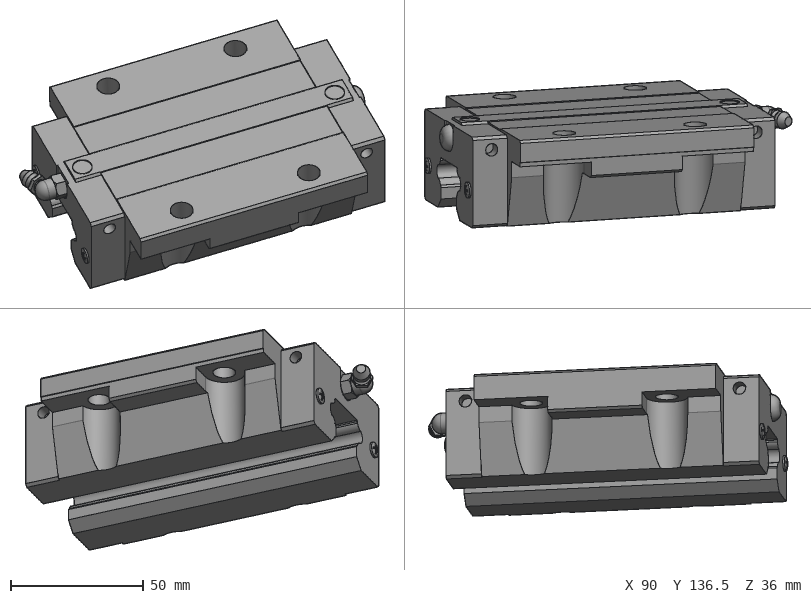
import cadquery as cq
import math


total_length = 136.5
width = 90.0
height = 36.0

block_length = 93.0
flange_bottom = 19.8
thin_flange_bottom = 26.0
body_half_width = 34.4
foot_half_width = 29.1
edge_chamfer = 1.0
datum_relief = 0.4
datum_bottom = 27.6

channel_half_width = 21.0
channel_depth = 0.4
rib_half_width = 5.3

bolt_x = 36.0
bolt_y = 26.1
bolt_diameter = 8.6
clearance_radius = 7.9

cap_end = 60.2
plate_thickness = 3.3
cap_height = 35.1
cap_chamfer = 1.1
pad_top_half_width = 5.2
pad_foot_half_width = 6.0
pad_hole_diameter = 7.4
pad_hole_depth = 0.4
pad_hole_y = 51.7
side_hole_diameter = 4.8
side_hole_depth = 5.5
side_hole_y = 52.7
side_hole_z = 29.9

slot_mouth = 13.2
slot_throat = 9.1
slot_throat_bottom = 4.0
slot_throat_top = 8.3
slot_roof_half_width = 9.5
slot_roof_corner = 0.4
groove_z = 13.9
groove_reach = 14.3
groove_mouth = 12.7
groove_mouth_rise = 2.6
lip_crown = 11.0
lip_crown_rise = 3.3
lip_end_rise = 4.8

screw_x = 24.0
screw_z = 13.9
screw_radius = 3.0
screw_rim = 0.7
screw_height = 1.4
cross_length = 3.5
cross_width = 0.7
cross_depth = 0.7

port_z = 29.3
port_radius = 5.2
port_depth = 0.5
plug_radius = 5.2
plug_height = 2.9

base_hex_corners = 9.7
base_hex_height = 3.7
base_hex_chamfer = 0.5
elbow_radius = 4.0
nipple_angle = 22.5
nipple_hex_corners = 8.3
nipple_hex_start = 3.7
nipple_hex_end = 5.2
neck_radius = 2.5
bead_radius = 3.3
bead_start = 7.4
bead_end = 9.1
tip_radius = 1.8
nipple_length = 12.0
bead_drop = (
    bead_end * math.sin(math.radians(nipple_angle)) + bead_radius * math.cos(math.radians(nipple_angle))
)
elbow_reach = total_length - 2 * cap_end - plug_height - bead_drop

SIDES = (-1, 1)


def extrude_along_y(outline, y_start, y_end):
    """Extrude an outline of the XZ plane between two Y positions."""
    return outline.extrude(y_start - y_end).translate((0, y_start, 0))


def make_block():
    """Flanged block with the -X datum relief and the channels along its top."""
    half = width / 2
    outline = cq.Workplane("XZ").polyline([
        (-foot_half_width, 0),
        (foot_half_width, 0),
        (body_half_width, flange_bottom),
        (half - edge_chamfer, flange_bottom),
        (half, flange_bottom + edge_chamfer),
        (half, height - edge_chamfer),
        (half - edge_chamfer, height),
        (edge_chamfer - half, height),
        (-half, height - edge_chamfer),
        (-half, datum_bottom),
        (datum_relief - half, datum_bottom),
        (datum_relief - half, flange_bottom + edge_chamfer),
        (datum_relief + edge_chamfer - half, flange_bottom),
        (-body_half_width, flange_bottom),
    ]).close()
    block = extrude_along_y(outline, -block_length / 2, block_length / 2)

    channel_width = channel_half_width - rib_half_width
    for side in SIDES:
        channel = cq.Workplane("XY").box(channel_width, block_length, 2 * channel_depth)
        block = block.cut(channel.translate((side * (rib_half_width + channel_width / 2), 0, height)))
    return block


def thin_flange_ends(block):
    """Raise the flange underside beyond the bolts and clear the body around each bolt."""
    reach = width / 2 - body_half_width
    end_length = block_length / 2 - bolt_y
    for x_side in SIDES:
        for y_side in SIDES:
            end_relief = cq.Workplane("XY").box(
                reach, end_length, thin_flange_bottom, centered=(True, True, False)
            ).translate((x_side * (body_half_width + reach / 2), y_side * (bolt_y + end_length / 2), 0))
            bolt_clearance = (
                cq.Workplane("XY").center(x_side * bolt_x, y_side * bolt_y)
                .circle(clearance_radius).extrude(thin_flange_bottom)
            )
            open_length = width / 2 - bolt_x
            open_side = cq.Workplane("XY").box(
                open_length, 2 * clearance_radius, thin_flange_bottom, centered=(True, True, False)
            ).translate((x_side * (bolt_x + open_length / 2), y_side * bolt_y, 0))
            block = block.cut(end_relief).cut(bolt_clearance).cut(open_side)
    bolts = (
        cq.Workplane("XY").rect(2 * bolt_x, 2 * bolt_y, forConstruction=True).vertices()
        .circle(bolt_diameter / 2).extrude(height)
    )
    return block.cut(bolts)


def make_cap(end):
    """End cap with its seal plate, raised pad, side holes and lubrication port."""
    block_end = block_length / 2
    y_start, y_end = sorted((end * block_end, end * cap_end))
    body = (
        cq.Workplane("XY").box(2 * foot_half_width, y_end - y_start, cap_height, centered=(True, True, False))
        .edges("|Y").chamfer(cap_chamfer).translate((0, (y_start + y_end) / 2, 0))
    )
    pad_outline = cq.Workplane("XZ").polyline([
        (-pad_foot_half_width, cap_height),
        (pad_foot_half_width, cap_height),
        (pad_top_half_width, height),
        (-pad_top_half_width, height),
    ]).close()
    pad_start, pad_end = sorted((end * block_end, end * (cap_end - plate_thickness)))
    cap = body.union(extrude_along_y(pad_outline, pad_start, pad_end))

    pad_hole = (
        cq.Workplane("XY", origin=(0, end * pad_hole_y, height))
        .circle(pad_hole_diameter / 2).extrude(-pad_hole_depth)
    )
    cap = cap.cut(pad_hole)
    for side in SIDES:
        side_hole = (
            cq.Workplane("YZ", origin=(side * foot_half_width, end * side_hole_y, side_hole_z))
            .circle(side_hole_diameter / 2).extrude(-side * side_hole_depth)
        )
        cap = cap.cut(side_hole)

    port_outline = (
        cq.Workplane("XZ").moveTo(-port_radius, cap_height).lineTo(-port_radius, port_z)
        .threePointArc((0, port_z - port_radius), (port_radius, port_z))
        .lineTo(port_radius, cap_height).close()
    )
    port_start, port_end = sorted((end * cap_end, end * (cap_end - port_depth)))
    return cap.cut(extrude_along_y(port_outline, port_start, port_end))


def make_rail_slot():
    """Opening for the rail: a round ball groove in each wall between two convex lips."""
    slot_side = slot_roof_half_width + slot_roof_corner
    right_half = (
        cq.Workplane("XZ").lineTo(slot_mouth, 0)
        .lineTo(slot_throat, slot_throat_bottom)
        .lineTo(slot_throat, slot_throat_top)
        .lineTo(slot_side, groove_z - lip_end_rise)
        .threePointArc((lip_crown, groove_z - lip_crown_rise), (groove_mouth, groove_z - groove_mouth_rise))
        .threePointArc((groove_reach, groove_z), (groove_mouth, groove_z + groove_mouth_rise))
        .threePointArc((lip_crown, groove_z + lip_crown_rise), (slot_side, groove_z + lip_end_rise))
        .lineTo(slot_side, flange_bottom - slot_roof_corner)
        .lineTo(slot_roof_half_width, flange_bottom)
        .lineTo(0, flange_bottom).close()
    )
    half_slot = extrude_along_y(right_half, -cap_end, cap_end)
    return half_slot.union(half_slot.mirror("YZ"))


def make_screw():
    """Domed cross-head screw standing on Z = 0."""
    dome_middle = screw_rim + 0.75 * (screw_height - screw_rim)
    head = (
        cq.Workplane("XZ").lineTo(screw_radius, 0).lineTo(screw_radius, screw_rim)
        .threePointArc((screw_radius / 2, dome_middle), (0, screw_height))
        .close().revolve(360, (0, 0, 0), (0, 1, 0))
    )
    for length, breadth in ((cross_length, cross_width), (cross_width, cross_length)):
        slot = cq.Workplane("XY").box(length, breadth, 2 * cross_depth)
        head = head.cut(slot.translate((0, 0, screw_height)))
    return head


def face_end(shape, end):
    """Turn a shape standing along +Z so that it points out of an end face."""
    return shape.rotate((0, 0, 0), (1, 0, 0), -90 * end)


def make_plug():
    """Plug whose side rounds over from its base all the way to the flat top."""
    rise = port_depth + plug_height
    flat_radius = plug_radius - rise
    diagonal = rise * math.sqrt(0.5)
    plug = (
        cq.Workplane("XZ").lineTo(plug_radius, 0)
        .threePointArc((flat_radius + diagonal, diagonal), (flat_radius, rise))
        .lineTo(0, rise).close().revolve(360, (0, 0, 0), (0, 1, 0))
    )
    return face_end(plug, 1).translate((0, cap_end - port_depth, port_z))


def make_nipple():
    """Hexagon base, round elbow and a tilted branch with a hexagon, a waist and a tapered bead."""
    base_height = port_depth + base_hex_height
    chamfered_bar = (
        cq.Workplane("XY").circle(base_hex_corners / 2).extrude(base_height)
        .faces(">Z").edges().chamfer(base_hex_chamfer)
    )
    base = cq.Workplane("XY").polygon(6, base_hex_corners).extrude(base_height).intersect(chamfered_bar)
    base = face_end(base, -1).translate((0, port_depth, 0))
    arm = face_end(cq.Workplane("XY").circle(elbow_radius).extrude(elbow_reach), -1)
    ball = cq.Workplane("XY").sphere(elbow_radius).translate((0, -elbow_reach, 0))

    hexagon = (
        cq.Workplane("XY").workplane(offset=nipple_hex_start).polygon(6, nipple_hex_corners)
        .extrude(nipple_hex_end - nipple_hex_start)
    )
    stem = (
        cq.Workplane("XZ").lineTo(neck_radius, 0).lineTo(neck_radius, nipple_hex_start)
        .lineTo(bead_radius, nipple_hex_end)
        .threePointArc((neck_radius, (nipple_hex_end + bead_start) / 2), (bead_radius, bead_start))
        .lineTo(bead_radius, bead_end).lineTo(tip_radius, nipple_length).lineTo(0, nipple_length)
        .close().revolve(360, (0, 0, 0), (0, 1, 0))
    )
    branch = face_end(stem.union(hexagon), -1)
    branch = branch.rotate((0, 0, 0), (0, 0, 1), nipple_angle - 90).translate((0, -elbow_reach, 0))
    return base.union(arm).union(ball).union(branch).translate((0, -cap_end, port_z))


result = thin_flange_ends(make_block())
for end in SIDES:
    result = result.union(make_cap(end))
result = result.cut(make_rail_slot())
for end in SIDES:
    for side in SIDES:
        screw = face_end(make_screw(), end).translate((side * screw_x, end * cap_end, screw_z))
        result = result.union(screw)
result = result.union(make_plug()).union(make_nipple())